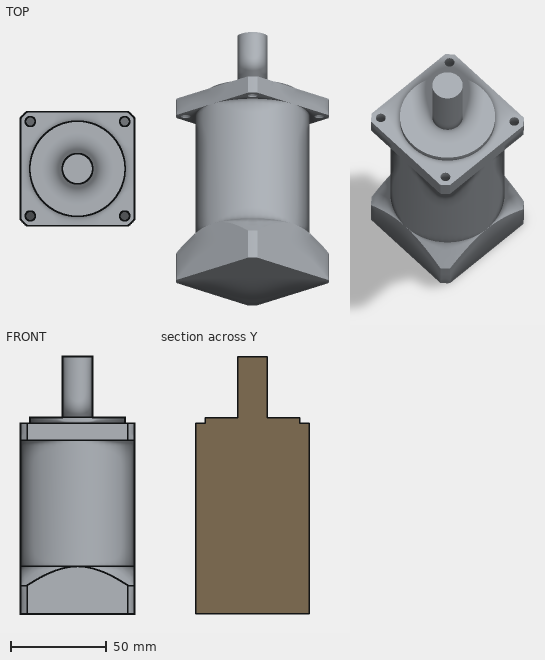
import cadquery as cq

total_height = 135.1
square_width = 60.0
corner_diameter = 80.0

base_height = 25.0
cone_height = (corner_diameter - square_width) / 2

body_length = 66.0

flange_thickness = 9.0
bolt_circle_diameter = 70.0
bolt_hole_diameter = 5.1
bolt_hole_count = 4

boss_diameter = 50.0
boss_height = 3.0
shaft_diameter = 16.0

body_top = base_height + body_length
flange_top = body_top + flange_thickness
boss_top = flange_top + boss_height


def cylinder(diameter, bottom, top):
    return cq.Workplane("XY").workplane(offset=bottom).circle(diameter / 2).extrude(top - bottom)


def rounded_square(bottom, top):
    """Square plate whose corners lie on the turned corner diameter."""
    height = top - bottom
    square = cq.Workplane("XY").workplane(offset=bottom).rect(square_width, square_width).extrude(height)
    return square.intersect(cylinder(corner_diameter, bottom, top))


def make_base():
    turned_envelope = (
        cylinder(corner_diameter, 0, base_height)
        .faces(">Z")
        .edges()
        .chamfer(cone_height)
    )
    return rounded_square(0, base_height).intersect(turned_envelope)


def make_flange():
    bolt_holes = (
        cq.Workplane("XY")
        .workplane(offset=body_top)
        .polarArray(bolt_circle_diameter / 2, 45, 360, bolt_hole_count)
        .circle(bolt_hole_diameter / 2)
        .extrude(flange_thickness)
    )
    return rounded_square(body_top, flange_top).cut(bolt_holes)


body = cylinder(square_width, base_height, body_top)
boss = cylinder(boss_diameter, flange_top, boss_top)
shaft = cylinder(shaft_diameter, boss_top, total_height)

result = (
    make_base()
    .union(body)
    .union(make_flange())
    .union(boss)
    .union(shaft)
    .translate((0, 0, -total_height / 2))
)